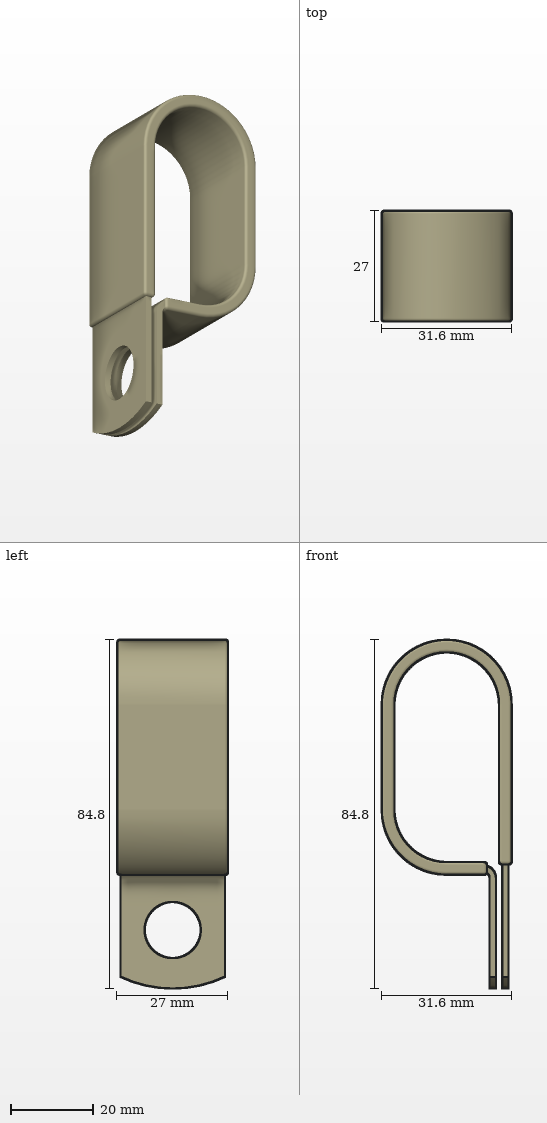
import cadquery as cq

total_height = 84.85
loop_width = 31.65
cushion_depth = 27.0
strap_thickness = 1.6
cushion_cover = 0.8
arc_spacing = 25.5
flange_end_x = 9.85
leg_cover_length = 38.9
leg_pitch = 3.05
bend_mid_radius = 2.4
tip_rise = 2.9
hole_diameter = 13.6
hole_above_tip = 14.25

cushion_thickness = strap_thickness + 2 * cushion_cover
outer_radius = loop_width / 2
inner_radius = outer_radius - cushion_thickness
mid_radius = (outer_radius + inner_radius) / 2
strap_width = cushion_depth - 2 * cushion_cover
tip_z = outer_radius - total_height
flange_mid_z = -arc_spacing - mid_radius
inner_leg_x = mid_radius - leg_pitch
half_strap = strap_thickness / 2


def make_cushion():
    """Rounded rubber band around the loop, open between its two ends."""
    band = (
        cq.Workplane("XZ")
        .moveTo(outer_radius, -leg_cover_length)
        .lineTo(outer_radius, 0)
        .threePointArc((0, outer_radius), (-outer_radius, 0))
        .lineTo(-outer_radius, -arc_spacing)
        .radiusArc((0, -arc_spacing - outer_radius), -outer_radius)
        .lineTo(flange_end_x, -arc_spacing - outer_radius)
        .lineTo(flange_end_x, -arc_spacing - inner_radius)
        .lineTo(0, -arc_spacing - inner_radius)
        .radiusArc((-inner_radius, -arc_spacing), inner_radius)
        .lineTo(-inner_radius, 0)
        .threePointArc((0, inner_radius), (inner_radius, 0))
        .lineTo(inner_radius, -leg_cover_length)
        .close()
        .extrude(cushion_depth / 2, both=True)
    )
    side_edges = band.faces("<Y or >Y").edges()
    leg_end_edges = band.edges("|Y").filter(
        lambda edge: abs(edge.Center().z + leg_cover_length) < half_strap
    )
    flange_end_edges = band.edges("|Y").filter(
        lambda edge: abs(edge.Center().x - flange_end_x) < half_strap
    )
    return side_edges.add(leg_end_edges).add(flange_end_edges).fillet(cushion_cover)


def make_legs():
    """Straight outer leg and bent inner leg, with shared tip arc and bolt hole."""
    outer_leg = (
        cq.Workplane("XZ")
        .moveTo(mid_radius - half_strap, tip_z)
        .lineTo(mid_radius - half_strap, 0)
        .lineTo(mid_radius + half_strap, 0)
        .lineTo(mid_radius + half_strap, tip_z)
        .close()
        .extrude(strap_width / 2, both=True)
    )
    bend_x = inner_leg_x - bend_mid_radius
    bend_z = flange_mid_z - bend_mid_radius
    bend_outer = bend_mid_radius + half_strap
    bend_inner = bend_mid_radius - half_strap
    inner_leg = (
        cq.Workplane("XZ")
        .moveTo(0, flange_mid_z + half_strap)
        .lineTo(bend_x, flange_mid_z + half_strap)
        .radiusArc((inner_leg_x + half_strap, bend_z), bend_outer)
        .lineTo(inner_leg_x + half_strap, tip_z)
        .lineTo(inner_leg_x - half_strap, tip_z)
        .lineTo(inner_leg_x - half_strap, bend_z)
        .radiusArc((bend_x, flange_mid_z - half_strap), -bend_inner)
        .lineTo(0, flange_mid_z - half_strap)
        .close()
        .extrude(strap_width / 2, both=True)
    )
    tip_profile = (
        cq.Workplane("YZ")
        .moveTo(-strap_width / 2, 0)
        .lineTo(-strap_width / 2, tip_z + tip_rise)
        .threePointArc((0, tip_z), (strap_width / 2, tip_z + tip_rise))
        .lineTo(strap_width / 2, 0)
        .close()
        .extrude(outer_radius)
    )
    bolt_hole = (
        cq.Workplane("YZ")
        .center(0, tip_z + hole_above_tip)
        .circle(hole_diameter / 2)
        .extrude(outer_radius)
    )
    return outer_leg.union(inner_leg).intersect(tip_profile).cut(bolt_hole)


result = make_cushion().union(make_legs())